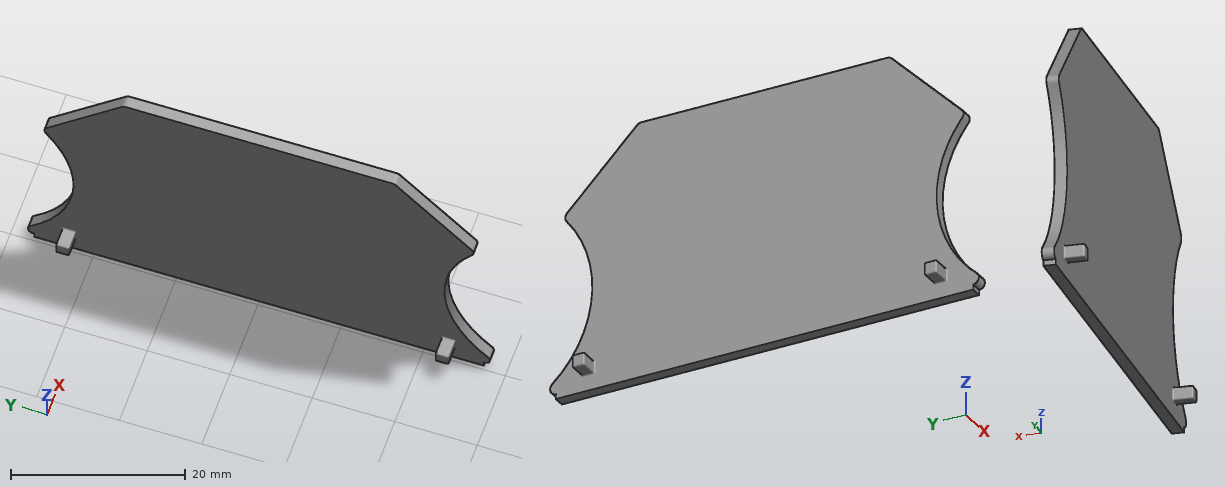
import cadquery as cq
import math

plate_thickness = 1.5
plate_height = 33.35
plate_length = 56.0
top_half_length = 16.4
corner_radius = 0.8

toe_radius = 0.8
step_half_length = 27.25
step_height = 0.65

bite_center_y = 37.5
bite_center_z = 13.45

overall_thickness = 3.96
peg_length = overall_thickness - plate_thickness
peg_side = 1.6
peg_y = 23.0
peg_z = 2.87
peg_edge_radius = 0.2
peg_root_radius = 0.2

toe_center_y = plate_length / 2 - toe_radius
toe_center_z = step_height + toe_radius
toe_to_bite_y = bite_center_y - toe_center_y
toe_to_bite_z = bite_center_z - toe_center_z
toe_to_bite = math.hypot(toe_to_bite_y, toe_to_bite_z)
bite_radius = toe_to_bite - toe_radius
toe_top = (
    toe_center_y + toe_radius * toe_to_bite_y / toe_to_bite,
    toe_center_z + toe_radius * toe_to_bite_z / toe_to_bite,
)
toe_tip = (plate_length / 2, toe_center_z)
toe_bottom = (
    step_half_length,
    toe_center_z - math.sqrt(toe_radius**2 - (step_half_length - toe_center_y) ** 2),
)
step_corner = (step_half_length, 0)
bite_bottom = (bite_center_y - bite_radius, bite_center_z)

top_corner = (top_half_length, plate_height)
slope_offset = sum(top_corner) - bite_center_y - bite_center_z
slope_reach = math.sqrt(2 * bite_radius**2 - slope_offset**2)
shoulder = (
    bite_center_y + (slope_offset - slope_reach) / 2,
    bite_center_z + (slope_offset + slope_reach) / 2,
)


def mirrored(point):
    return -point[0], point[1]


def make_plate():
    plate = (
        cq.Workplane("YZ")
        .moveTo(*mirrored(top_corner))
        .lineTo(*top_corner)
        .lineTo(*shoulder)
        .threePointArc(bite_bottom, toe_top)
        .threePointArc(toe_tip, toe_bottom)
        .lineTo(*step_corner)
        .lineTo(*mirrored(step_corner))
        .lineTo(*mirrored(toe_bottom))
        .threePointArc(mirrored(toe_tip), mirrored(toe_top))
        .threePointArc(mirrored(bite_bottom), mirrored(shoulder))
        .close()
        .extrude(plate_thickness)
    )
    upper_corners = cq.selectors.BoxSelector(
        (0, -plate_length, bite_center_z),
        (plate_thickness, plate_length, 2 * plate_height),
    )
    return plate.edges("|X").edges(upper_corners).fillet(corner_radius)


def add_peg(body, y):
    peg = (
        cq.Workplane("YZ")
        .center(y, peg_z)
        .rect(peg_side, peg_side)
        .extrude(-peg_length)
        .edges("|X or <X")
        .fillet(peg_edge_radius)
    )
    half_zone = peg_side / 2 + peg_root_radius
    root_edges = cq.selectors.BoxSelector(
        (-peg_root_radius, y - half_zone, peg_z - half_zone),
        (peg_root_radius, y + half_zone, peg_z + half_zone),
    )
    return body.union(peg).edges(root_edges).fillet(peg_root_radius)


result = make_plate()
for peg_position in (-peg_y, peg_y):
    result = add_peg(result, peg_position)